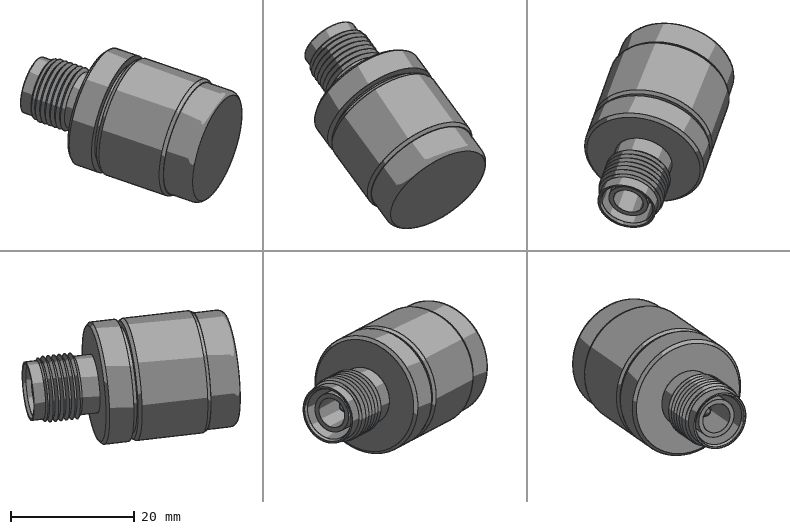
import cadquery as cq
import math

length = 33.3

neck_radius = 4.8
thread_start = 1.9
lead_crest_place = 2.2
lead_crest_radius = 5.2
thread_pitch = 0.9
full_crests = 6
first_crest_place = 3.03
crest_radius = 5.4

body_radius = 20.0 / 2
flange_start = 10.92
flange_end = 15.45
flange_chamfer = 0.5
groove_radius = 8.75
sleeve_start = 16.22
sleeve_end = 28.3
sleeve_chamfer_length = 0.6
sleeve_chamfer_depth = 0.33
rear_radius = 9.55
rear_rounding_length = 1.0
rear_rounding_radius = 1.2

mouth_radius = 4.5
mouth_chamfer_depth = 0.5
bore_radius = 4.25
bore_floor_radius = 4.1
bore_floor = 8.0

tube_face = 1.2
tube_outer_radius = 3.25
tube_inner_radius = 2.5
pin_tip = 4.0
pin_radius = 1.1
pin_tip_radius = 0.7
pin_shoulder_length = 0.4


def spun(profile):
    """Close a half profile in the XZ plane and revolve it about the X axis."""
    return profile.close().revolve(360, (0, 0, 0), (1, 0, 0))


def turned(points):
    """Revolve a half profile of (x, radius) points about the X axis."""
    return spun(cq.Workplane("XZ").polyline(points))


def thread_outline():
    """Points of the ring-shaped thread teeth, from the small lead tooth to the last root."""
    half_pitch = thread_pitch / 2
    points = [
        (thread_start, neck_radius),
        (lead_crest_place, lead_crest_radius),
        (first_crest_place - half_pitch, neck_radius),
    ]
    for tooth in range(full_crests):
        crest_place = first_crest_place + tooth * thread_pitch
        points.append((crest_place, crest_radius))
        points.append((crest_place + half_pitch, neck_radius))
    return points


def outer_body():
    """Solid outer shape with a rounded rear edge."""
    sleeve_edge_radius = body_radius - sleeve_chamfer_depth
    neck = [(0, 0), (0, neck_radius)] + thread_outline() + [(flange_start, neck_radius)]
    flange = [
        (flange_start, body_radius - flange_chamfer),
        (flange_start + flange_chamfer, body_radius),
        (flange_end, body_radius),
        (flange_end, groove_radius),
    ]
    sleeve = [
        (sleeve_start, groove_radius),
        (sleeve_start, sleeve_edge_radius),
        (sleeve_start + sleeve_chamfer_length, body_radius),
        (sleeve_end - sleeve_chamfer_length, body_radius),
        (sleeve_end, sleeve_edge_radius),
    ]
    rounding_start = length - rear_rounding_length
    rear = [(sleeve_end, rear_radius), (rounding_start, rear_radius)]
    rear_arc_drop = rear_rounding_radius - math.sqrt(rear_rounding_radius**2 - rear_rounding_length**2)
    profile = (
        cq.Workplane("XZ")
        .polyline(neck + flange + sleeve + rear)
        .tangentArcPoint((length, rear_radius - rear_arc_drop), relative=False)
        .lineTo(length, 0)
    )
    return spun(profile)


def socket():
    """Space removed from the neck, leaving the tube and the centre pin on its floor."""
    dome_end = pin_tip + pin_tip_radius
    cavity = turned([
        (0, 0),
        (0, mouth_radius),
        (mouth_chamfer_depth, bore_radius),
        (bore_floor, bore_floor_radius),
        (bore_floor, 0),
    ])
    tube = turned([
        (tube_face, tube_inner_radius),
        (tube_face, tube_outer_radius),
        (bore_floor, tube_outer_radius),
        (bore_floor, tube_inner_radius),
    ])
    pin = spun(
        cq.Workplane("XZ")
        .moveTo(pin_tip, 0)
        .radiusArc((dome_end, pin_tip_radius), pin_tip_radius)
        .lineTo(dome_end + pin_shoulder_length, pin_radius)
        .lineTo(bore_floor, pin_radius)
        .lineTo(bore_floor, 0)
    )
    return cavity.cut(tube).cut(pin)


result = outer_body().cut(socket())